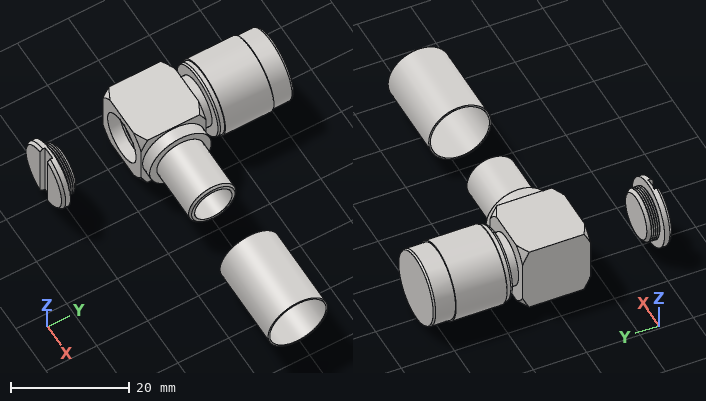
import cadquery as cq


block_side = 12.75
block_half = block_side / 2
corner_face_radius = 7.45
corner_cone_depth = 1.25
corner_edge_radius = block_half * 2 ** 0.5

neck_radius = 4.8
nut_start = 8.5
nut_end = 23.35
nut_radius = 6.95
nut_chamfer_width = 0.15
nut_chamfer_length = 0.4
grip_radius = 7.25
grip_start = 9.7
grip_end = 19.25

collar_radius = 6.1
collar_end = 8.7
spigot_radius = 4.65
spigot_end = 19.55
spigot_chamfer = 0.4
cable_bore_radius = 3.65
cable_bore_start = 2.2

cap_seat_radius = 4.7
cap_seat_depth = 2.3
access_bore_radius = 3.45
access_bore_end = 3.45

cap_tip = -17.9
cap_flange_back = -20.2
cap_bevel_start = -21.2
cap_face = -21.75
cap_flange_radius = block_half
cap_face_radius = 5.9
cap_core_radius = 4.55
cap_tip_chamfer = 0.35
slot_width = 2.4
slot_depth = 1.0
thread_radius = 4.8
thread_count = 5
thread_pitch = 0.4
thread_start = cap_flange_back + thread_count * thread_pitch

ferrule_start = 31.55
ferrule_length = 16.0
ferrule_radius = 5.85
ferrule_bore_radius = 5.55


def turned_on_y(profile):
    """Revolve a closed (radius, y) profile about the Y axis."""
    return cq.Workplane("XY").polyline(profile).close().revolve(360, (0, 0, 0), (0, 1, 0))


def rod_on_x(radius, start, end):
    """Solid cylinder on the X axis."""
    return cq.Workplane("YZ").workplane(offset=start).circle(radius).extrude(end - start)


def rod_on_y(radius, start, end):
    """Solid cylinder on the Y axis."""
    return turned_on_y([(0, start), (radius, start), (radius, end), (0, end)])


def make_block():
    """Cube whose corners are turned off by a cone at each end of the Y axis."""
    cone_end = block_half - corner_cone_depth
    turned_envelope = turned_on_y([
        (0, -block_half),
        (corner_face_radius, -block_half),
        (corner_edge_radius, -cone_end),
        (corner_edge_radius, cone_end),
        (corner_face_radius, block_half),
        (0, block_half),
    ])
    return cq.Workplane("XY").box(block_side, block_side, block_side).intersect(turned_envelope)


def make_coupling():
    """Neck and coupling nut with its raised grip band."""
    nut_edge_radius = nut_radius - nut_chamfer_width
    return turned_on_y([
        (0, 0),
        (neck_radius, 0),
        (neck_radius, nut_start),
        (nut_edge_radius, nut_start),
        (nut_radius, nut_start + nut_chamfer_length),
        (nut_radius, grip_start),
        (grip_radius, grip_start),
        (grip_radius, grip_end),
        (nut_radius, grip_end),
        (nut_radius, nut_end - nut_chamfer_length),
        (nut_edge_radius, nut_end),
        (0, nut_end),
    ])


def make_cable_spigot():
    """Collar and the chamfered tube that takes the cable."""
    collar = rod_on_x(collar_radius, 0, collar_end)
    tube = rod_on_x(spigot_radius, 0, spigot_end).faces(">X").chamfer(spigot_chamfer)
    return collar.union(tube)


def make_connector():
    solid = make_block().union(make_coupling()).union(make_cable_spigot())
    cap_seat = rod_on_y(cap_seat_radius, -block_half, cap_seat_depth - block_half)
    access_bore = rod_on_y(access_bore_radius, -block_half, access_bore_end)
    cable_bore = rod_on_x(cable_bore_radius, cable_bore_start, spigot_end)
    return solid.cut(cap_seat).cut(access_bore).cut(cable_bore)


def make_screw_cap():
    """Slotted cap with parallel V ridges as its thread."""
    profile = [
        (0, cap_tip),
        (cap_core_radius - cap_tip_chamfer, cap_tip),
        (cap_core_radius, cap_tip - cap_tip_chamfer),
    ]
    for ridge in range(thread_count):
        ridge_top = thread_start - ridge * thread_pitch
        profile.append((thread_radius, ridge_top - thread_pitch / 2))
        profile.append((cap_core_radius, ridge_top - thread_pitch))
    profile += [
        (cap_flange_radius, cap_flange_back),
        (cap_flange_radius, cap_bevel_start),
        (cap_face_radius, cap_face),
        (0, cap_face),
    ]
    slot = cq.Workplane("XY").box(slot_width, 2 * slot_depth, block_side).translate((0, cap_face, 0))
    return turned_on_y(profile).cut(slot)


def make_ferrule():
    outside = rod_on_x(ferrule_radius, ferrule_start, ferrule_start + ferrule_length)
    bore = rod_on_x(ferrule_bore_radius, ferrule_start, ferrule_start + ferrule_length)
    return outside.cut(bore)


connector = make_connector()
screw_cap = make_screw_cap()
ferrule = make_ferrule()

result = cq.Compound.makeCompound([connector.val(), screw_cap.val(), ferrule.val()])